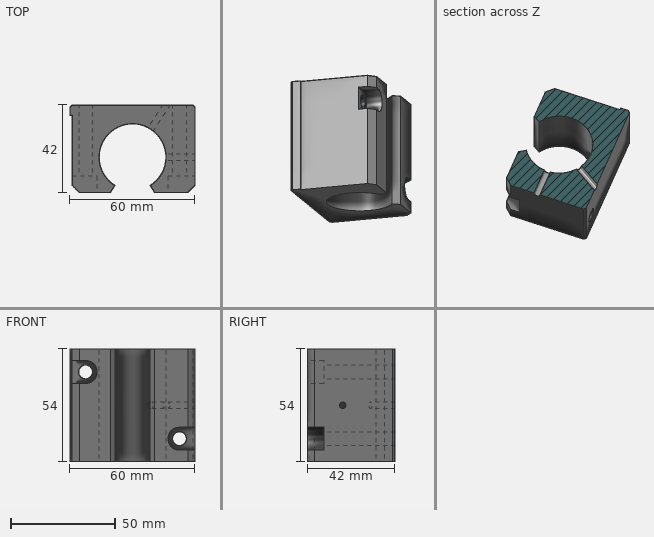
import cadquery as cq
import math

length = 60.0
depth = 42.0
height = 54.0
half_length = length / 2
ledge_step = 1.0
ledge_width = 5.0
back_chamfer = 1.0
front_chamfer = 3.5

bore_diameter = 32.0
bore_radius = bore_diameter / 2
bore_y = 17.0
opening_half_angle = math.radians(32.0)

hole_spacing_x = 45.0
hole_spacing_z = 32.0
hole_diameter = 6.6
recess_width = 11.0
recess_depth = 8.0

radial_hole_diameter = 3.0
radial_hole_angles = (0, 57)


def block():
    left_wall = -half_length + ledge_step
    outline = [
        (left_wall + front_chamfer, 0),
        (half_length - front_chamfer, 0),
        (half_length, front_chamfer),
        (half_length, depth - back_chamfer),
        (half_length - back_chamfer, depth),
        (-half_length + back_chamfer, depth),
        (-half_length, depth - back_chamfer),
        (-half_length, depth - ledge_width),
        (left_wall, depth - ledge_width),
        (left_wall, front_chamfer),
    ]
    return cq.Workplane("XY").polyline(outline).close().extrude(height)


def open_bore():
    """Round bore plus the wedge, radiating from its axis, that opens it to the front."""
    wedge_end_y = -0.6
    wedge_half_width = (bore_y - wedge_end_y) * math.tan(opening_half_angle)
    bore = cq.Workplane("XY").center(0, bore_y).circle(bore_radius).extrude(height)
    wedge = (
        cq.Workplane("XY")
        .polyline([(0, bore_y), (-wedge_half_width, wedge_end_y), (wedge_half_width, wedge_end_y)])
        .close()
        .extrude(height)
    )
    return bore.union(wedge)


def mounting_hole(side):
    """Through hole and recess; side is -1 for upper left, +1 for lower right."""
    x = side * hole_spacing_x / 2
    z = height / 2 - side * hole_spacing_z / 2
    front = cq.Workplane("XZ").center(x, z)
    hole = front.circle(hole_diameter / 2).extrude(-depth)
    round_end = front.circle(recess_width / 2).extrude(-recess_depth)
    run_out = half_length - hole_spacing_x / 2
    side_opening = front.center(side * run_out / 2, 0).rect(run_out, recess_width).extrude(-recess_depth)
    return hole.union(round_end).union(side_opening)


def radial_hole(angle):
    return (
        cq.Workplane("YZ")
        .center(0, height / 2)
        .circle(radial_hole_diameter / 2)
        .extrude(length)
        .rotate((0, 0, 0), (0, 0, 1), angle)
        .translate((0, bore_y, 0))
    )


result = block().cut(open_bore())
for angle in radial_hole_angles:
    result = result.cut(radial_hole(angle))
for side in (-1, 1):
    result = result.cut(mounting_hole(side))